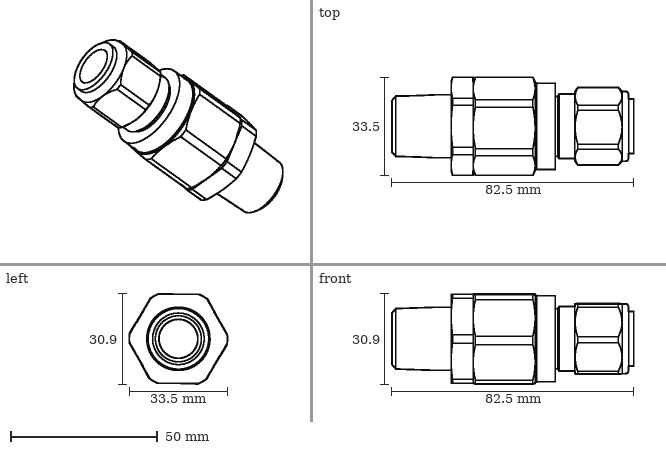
import cadquery as cq
import math

thread_chamfer_end = 1.4
thread_end = 14.95
flange_start = 20.2
body_start = 27.7
body_end = 48.9
collar_end = 55.75
neck_start = 56.5
neck_chamfer_length = 0.6
nut_start = 62.4
nut_end = 80.7
overall_length = 82.55

thread_tip_diameter = 17.6
thread_small_diameter = 20.7
shank_diameter = 21.6
collar_diameter = 29.5
neck_groove_diameter = 20.5
neck_diameter = 22.1
tube_end_diameter = 18.7
washer_face_diameter = 29.7
washer_face_length = 0.5

flange_angle = 0
body_across_flats = 30.4
body_corner_diameter = 33.55
nut_across_flats = 23.88
nut_corner_diameter = 26.5
body_angle = 2.0
nut_angle = 1.5

flange_chamfer = 0.5
body_chamfer = 0.8
body_face_diameter = 30.2
nut_rear_chamfer = 1.0
nut_rear_face_diameter = 23.6
nut_front_chamfer = 1.25
nut_rim_diameter = nut_across_flats
nut_rim_length = 2.2
nut_rim_fillet = 1.0

inlet_bore_diameter = 15.7
through_bore_diameter = 13.2
inlet_bore_end = flange_start


def revolve_profile(points):
    """Solid of revolution about X from (station, diameter) pairs."""
    outline = [(x, diameter / 2) for x, diameter in points]
    outline = [(points[0][0], 0)] + outline + [(points[-1][0], 0)]
    return cq.Workplane("XZ").polyline(outline).close().revolve(360, (0, 0, 0), (1, 0, 0))


def hexagon(start, end, across_flats, angle):
    """Hexagonal bar along X, its +Z and -Z flats turned by angle about X."""
    bar = (
        cq.Workplane("YZ", origin=(start, 0, 0))
        .polygon(6, across_flats / math.cos(math.pi / 6))
        .extrude(end - start)
    )
    return bar.rotate((0, 0, 0), (1, 0, 0), angle)


def make_turned_core():
    """Tapered thread, shank, washer face, collar, grooved neck and tube end."""
    return revolve_profile([
        (0, thread_tip_diameter),
        (thread_chamfer_end, thread_small_diameter),
        (thread_end, shank_diameter),
        (flange_start, shank_diameter),
        (flange_start, washer_face_diameter),
        (body_end + washer_face_length, washer_face_diameter),
        (body_end + washer_face_length, collar_diameter),
        (collar_end, collar_diameter),
        (collar_end, neck_groove_diameter),
        (neck_start, neck_groove_diameter),
        (neck_start + neck_chamfer_length, neck_diameter),
        (nut_start, neck_diameter),
        (nut_start, tube_end_diameter),
        (overall_length, tube_end_diameter),
    ])


def make_flange():
    """Thin hexagon chamfered on its thread side and meeting the body flat."""
    envelope = revolve_profile([
        (flange_start, body_face_diameter),
        (flange_start + flange_chamfer, body_corner_diameter),
        (body_start, body_corner_diameter),
    ])
    return hexagon(flange_start, body_start, body_across_flats, flange_angle).intersect(envelope)


def make_body():
    """Long hexagon chamfered at both ends."""
    envelope = revolve_profile([
        (body_start, body_face_diameter),
        (body_start + body_chamfer, body_corner_diameter),
        (body_end - body_chamfer, body_corner_diameter),
        (body_end, body_face_diameter),
    ])
    return hexagon(body_start, body_end, body_across_flats, body_angle).intersect(envelope)


def make_nut():
    """Hexagon nut chamfered at both ends, with a rounded rim on its +X side."""
    hex_end = nut_end - nut_rim_length
    envelope = revolve_profile([
        (nut_start, nut_rear_face_diameter),
        (nut_start + nut_rear_chamfer, nut_corner_diameter),
        (hex_end - nut_front_chamfer, nut_corner_diameter),
        (hex_end, nut_rim_diameter),
    ])
    hex_part = hexagon(nut_start, hex_end, nut_across_flats, nut_angle).intersect(envelope)
    rim = revolve_profile([(hex_end, nut_rim_diameter), (nut_end, nut_rim_diameter)])
    rim = rim.faces(">X").edges().fillet(nut_rim_fillet)
    return hex_part.union(rim)


def make_bores():
    """Inlet bore stepping down to the through bore."""
    return revolve_profile([
        (0, inlet_bore_diameter),
        (inlet_bore_end, inlet_bore_diameter),
        (inlet_bore_end, through_bore_diameter),
        (overall_length, through_bore_diameter),
    ])


fitting = make_turned_core()
for section in (make_flange(), make_body(), make_nut()):
    fitting = fitting.union(section)
result = fitting.cut(make_bores())